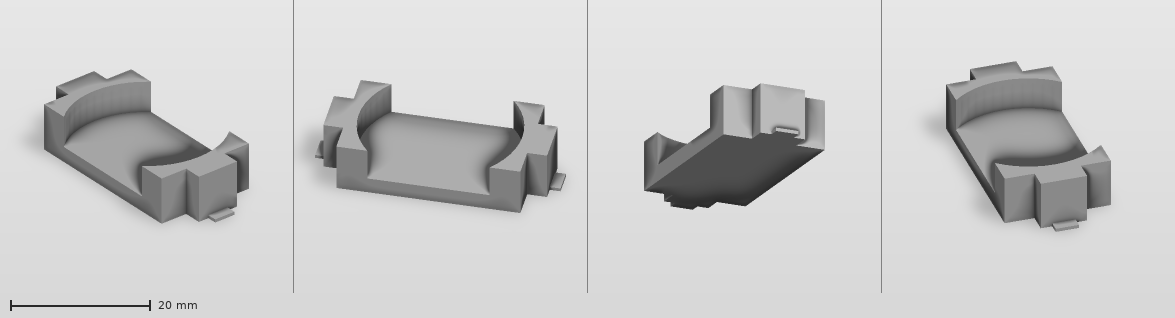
import cadquery as cq

overall_length = 36.0
width = 16.0
height = 7.5

housing_length = 27.0
floor_thickness = 2.5
pocket_diameter = 24.0

block_span = 32.85
block_width = 7.0
block_length = (block_span - housing_length) / 2

tab_width = 3.53
tab_thickness = 0.5
tab_length = (overall_length - block_span) / 2

END_SIDES = (-1, 1)


def make_housing():
    """Rectangular tray with a round pocket that breaks out through both long sides."""
    body = cq.Workplane("XY").box(housing_length, width, height, centered=(True, True, False))
    pocket = (
        cq.Workplane("XY")
        .workplane(offset=floor_thickness)
        .circle(pocket_diameter / 2)
        .extrude(height - floor_thickness)
    )
    return body.cut(pocket)


def make_end_box(side, inner_x, length, box_width, box_height):
    """Box standing on the base plane, running outward from inner_x on one end."""
    return (
        cq.Workplane("XY")
        .box(length, box_width, box_height, centered=(True, True, False))
        .translate((side * (inner_x + length / 2), 0, 0))
    )


def make_terminal_block(side):
    return make_end_box(side, housing_length / 2, block_length, block_width, height)


def make_solder_tab(side):
    return make_end_box(side, block_span / 2, tab_length, tab_width, tab_thickness)


housing = make_housing()
terminal_blocks = [make_terminal_block(side) for side in END_SIDES]
solder_tabs = [make_solder_tab(side) for side in END_SIDES]

result = cq.Compound.makeCompound(
    [
        housing.val(),
        *[block.val() for block in terminal_blocks],
        *[tab.val() for tab in solder_tabs],
    ]
)